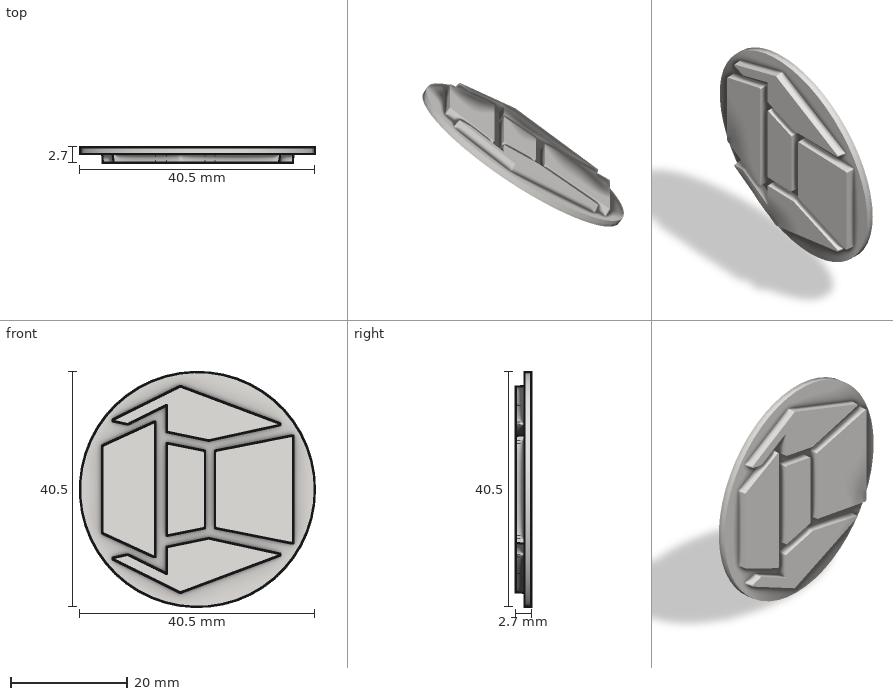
import cadquery as cq

disc_diameter = 40.5
total_thickness = 2.7
disc_thickness = 1.2

pad_height = total_thickness - disc_thickness
pad_draft = 2.5
pad_corner_radius = 0.2

left_pad_sides = ((-16.4, 7.57), (-7.2, 11.8))
centre_pad_sides = ((-5.35, 8.0), (1.35, 6.7))
right_pad_sides = ((3.0, 6.7), (16.52, 9.35))

wing_outline = [
    (-2.95, 17.8),
    (14.8, 11.18),
    (1.95, 8.4),
    (centre_pad_sides[0][0], 9.9),
    (centre_pad_sides[0][0], 14.45),
    (-12.0, 11.18),
    (-15.03, 11.83),
]


def make_pad(outline):
    """Drafted pad with rounded corners, rising toward -Y from the front face of the plate at Y = 0."""
    pad = cq.Workplane("XZ").polyline(outline).close().extrude(pad_height, taper=pad_draft)
    corner_edges = pad.edges("not (<Y or >Y)")
    return corner_edges.fillet(pad_corner_radius)


def make_trapezoid_pad(sides):
    """Pad symmetric about Z = 0 with two upright sides."""
    (left_x, left_half), (right_x, right_half) = sides
    return make_pad([
        (left_x, -left_half),
        (right_x, -right_half),
        (right_x, right_half),
        (left_x, left_half),
    ])


result = cq.Workplane("XZ").circle(disc_diameter / 2).extrude(-disc_thickness)

for pad_sides in (left_pad_sides, centre_pad_sides, right_pad_sides):
    result = result.union(make_trapezoid_pad(pad_sides))

upper_wing = make_pad(wing_outline)
lower_wing = upper_wing.mirror("XY")
result = result.union(upper_wing).union(lower_wing)